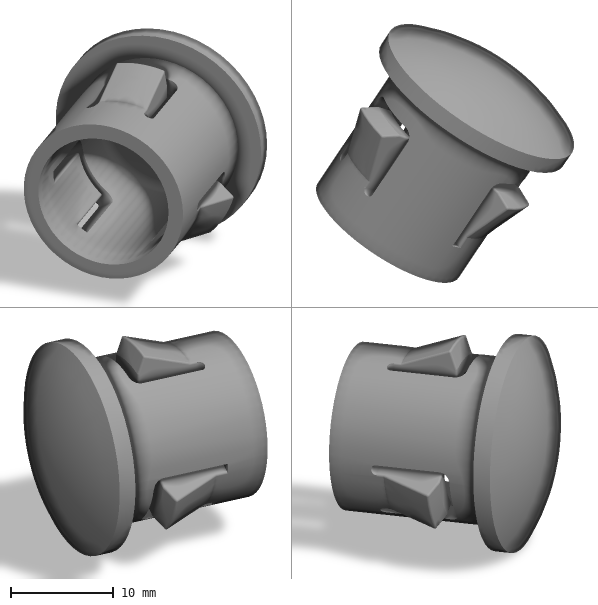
import cadquery as cq
import math

flange_radius = 10.65
flange_thickness = 1.7
dome_height = 2.81
tube_radius = 8.26
tube_length = 15.49
wall = 1.51
floor_fillet = 1.0

tongue_count = 3
square_window = 2
tongue_width = 5.0
slot_width = 1.0
window_top = 3.25
window_length = 7.97
window_corner = 1.0
barb_length = 5.73
barb_angle = 20.0
edge_fillet = 0.2

bore_radius = tube_radius - wall
dome_radius = (flange_radius**2 + dome_height**2) / (2 * dome_height)
dome_center = flange_thickness + dome_height - dome_radius
inner_dome_radius = dome_radius - wall

window_width = tongue_width + 2 * slot_width
window_end = window_top + window_length
tongue_tip = window_top + slot_width
slot_end_center = window_end - slot_width / 2


def sphere_height(radius, distance):
    """Y of a sphere about the dome center, at a distance from the axis."""
    return dome_center + math.sqrt(radius**2 - distance**2)


def revolve_about_axis(profile):
    return profile.close().revolve(360, (0, 0, 0), (0, 1, 0))


def make_shell():
    outside = (
        cq.Workplane("XY")
        .moveTo(0, -tube_length)
        .lineTo(tube_radius, -tube_length)
        .lineTo(tube_radius, 0)
        .lineTo(flange_radius, 0)
        .lineTo(flange_radius, flange_thickness)
        .threePointArc(
            (flange_radius / 2, sphere_height(dome_radius, flange_radius / 2)),
            (0, flange_thickness + dome_height),
        )
    )
    fillet_center_x = bore_radius - floor_fillet
    fillet_center_y = sphere_height(inner_dome_radius - floor_fillet, fillet_center_x)
    floor_slope = math.asin(fillet_center_x / (inner_dome_radius - floor_fillet))
    middle_slope = (floor_slope + math.pi / 2) / 2
    floor_edge_x = inner_dome_radius * math.sin(floor_slope)
    cavity = (
        cq.Workplane("XY")
        .moveTo(0, -tube_length)
        .lineTo(bore_radius, -tube_length)
        .lineTo(bore_radius, fillet_center_y)
        .threePointArc(
            (
                fillet_center_x + floor_fillet * math.sin(middle_slope),
                fillet_center_y + floor_fillet * math.cos(middle_slope),
            ),
            (floor_edge_x, sphere_height(inner_dome_radius, floor_edge_x)),
        )
        .threePointArc(
            (floor_edge_x / 2, sphere_height(inner_dome_radius, floor_edge_x / 2)),
            (0, dome_center + inner_dome_radius),
        )
    )
    return revolve_about_axis(outside).cut(revolve_about_axis(cavity))


def make_opening(bottom):
    """Opening in the +Z wall, with a rounded top and a square bottom."""
    return (
        cq.Workplane("XY")
        .rect(window_width, bottom - window_top)
        .extrude(flange_radius)
        .edges("|Z and >Y")
        .fillet(window_corner)
        .translate((0, -(window_top + bottom) / 2, 0))
    )


def make_round_window():
    """Opening whose two slots end in half circles beside the tongue root."""
    slot_offset = (tongue_width + slot_width) / 2
    slot_ends = (
        cq.Workplane("XY")
        .pushPoints([(-slot_offset, -slot_end_center), (slot_offset, -slot_end_center)])
        .circle(slot_width / 2)
        .extrude(flange_radius)
    )
    return make_opening(slot_end_center).union(slot_ends)


def turned(shape, index):
    """The shape moved from the +Z wall to the tongue position of this index."""
    return shape.rotate((0, 0, 0), (0, 1, 0), index * 360 / tongue_count)


def make_tongues():
    """Barbed tongues, cut as parallel-sided strips from a ring with the barb profile."""
    slope = math.radians(barb_angle)
    peak_radius = tube_radius + barb_length * math.sin(slope) * math.cos(slope)
    peak_distance = tongue_tip + barb_length * math.sin(slope)**2
    barb_end = tongue_tip + barb_length
    ring = revolve_about_axis(
        cq.Workplane("XY")
        .moveTo(bore_radius, -window_end)
        .lineTo(bore_radius, -tongue_tip)
        .lineTo(tube_radius, -tongue_tip)
        .lineTo(peak_radius, -peak_distance)
        .lineTo(tube_radius, -barb_end)
        .lineTo(tube_radius, -window_end)
    )
    ring = ring.edges(cq.selectors.RadiusNthSelector(-1)).fillet(edge_fillet)
    strip = (
        cq.Workplane("XY")
        .box(tongue_width, tube_length, flange_radius, centered=(True, True, False))
        .translate((0, -tube_length / 2, 0))
    )
    strips = turned(strip, 0)
    for index in range(1, tongue_count):
        strips = strips.union(turned(strip, index))
    tongues = ring.intersect(strips)
    side_faces = tongues.faces("%PLANE").faces("not |Y")
    return side_faces.edges("not <Y").fillet(edge_fillet)


result = make_shell()
for index in range(tongue_count):
    if index == square_window:
        window = make_opening(window_end)
    else:
        window = make_round_window()
    result = result.cut(turned(window, index))
result = result.union(make_tongues())